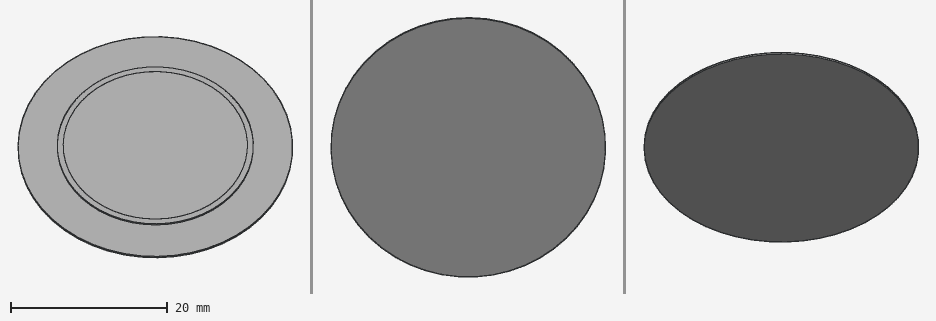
import cadquery as cq

plate_diameter = 35.0
ceramic_diameter = 25.0
electrode_diameter = 23.5

total_height = 0.55
plate_thickness = 0.3
electrode_thickness = 0.01
ceramic_thickness = total_height - plate_thickness - electrode_thickness


def add_disc(body, diameter, thickness):
    """Stack a concentric disc on the top face of the body."""
    return body.faces(">Z").workplane().circle(diameter / 2).extrude(thickness)


plate = cq.Workplane("XY").circle(plate_diameter / 2).extrude(plate_thickness)
plate_with_ceramic = add_disc(plate, ceramic_diameter, ceramic_thickness)
result = add_disc(plate_with_ceramic, electrode_diameter, electrode_thickness)